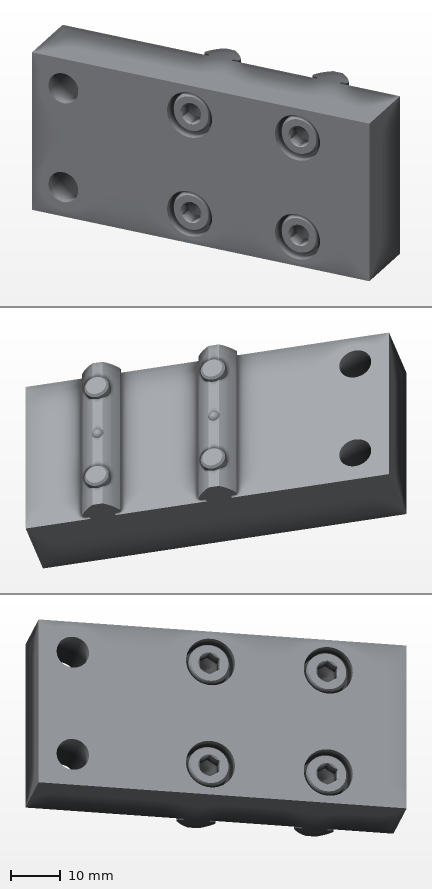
import cadquery as cq
import math


PLATE_LENGTH = 75.0
PLATE_THICKNESS = 14.0
PLATE_HEIGHT = 35.0
FRONT_Y = -PLATE_THICKNESS

HOLE_ROW_PITCH = 22.0
MOUNT_HOLE_X = 7.0
MOUNT_HOLE_DIAMETER = 6.6
FIRST_SCREW_X = 35.0
SCREW_COLUMN_PITCH = 24.0
ROW_ZS = (-HOLE_ROW_PITCH / 2, HOLE_ROW_PITCH / 2)
COLUMN_XS = (FIRST_SCREW_X, FIRST_SCREW_X + SCREW_COLUMN_PITCH)

SHANK_DIAMETER = 5.0
TIP_DIAMETER = 4.1
TIP_CHAMFER = (SHANK_DIAMETER - TIP_DIAMETER) / 2
SCREW_TIP_Y = 5.7
HEAD_DIAMETER = 8.5
HEAD_HEIGHT = 5.0
HEAD_CHAMFER_WIDTH = 0.45
HEAD_CHAMFER_HEIGHT = 0.75
HEAD_RECESS = 0.7
HEAD_TOP_Y = FRONT_Y + HEAD_RECESS
HEAD_SEAT_Y = HEAD_TOP_Y + HEAD_HEIGHT

SOCKET_ACROSS_FLATS = 4.0
SOCKET_ACROSS_CORNERS = SOCKET_ACROSS_FLATS / math.cos(math.pi / 6)
SOCKET_TURN = 30.0
SOCKET_DEPTH = 3.0
SOCKET_CONE_DEPTH = SOCKET_ACROSS_FLATS / 2 * math.tan(math.pi / 6)
SOCKET_MOUTH_DIAMETER = 4.65
SOCKET_MOUTH_DEPTH = (SOCKET_MOUTH_DIAMETER - SOCKET_ACROSS_FLATS) / 2

COUNTERBORE_DIAMETER = 10.0
CLEARANCE_DIAMETER = 5.5

NUT_HEIGHT = 4.5
NUT_TOP_HALF_WIDTH = 1.05
NECK_BASE_HALF_WIDTH = 2.55
NECK_HALF_WIDTH = 2.7
FLANGE_BOTTOM_Y = 0.7
FLANGE_TOP_Y = 1.65
FLANGE_EDGE_HALF_WIDTH = 3.8
FLANGE_TIP_HALF_WIDTH = 4.0
FLANGE_FOOT_HALF_WIDTH = 3.7
FLANK_BULGE = 0.2
NUB_RADIUS = 1.3
NUB_TOP_Y = 5.25


def cylinder_along_y(x, z, diameter, start_y, end_y):
    """Solid cylinder parallel to Y between two Y positions."""
    radius = diameter / 2
    return cq.Workplane(cq.Solid.makeCylinder(
        radius, end_y - start_y, cq.Vector(x, start_y, z), cq.Vector(0, 1, 0)))


def cone_along_y(start_y, start_radius, end_radius, length):
    """Solid cone or cone frustum centred on the Y axis, running toward +Y."""
    return cq.Workplane(cq.Solid.makeCone(
        start_radius, end_radius, length, cq.Vector(0, start_y, 0), cq.Vector(0, 1, 0)))


def make_plate():
    """Plate with two plain mounting holes and four counterbored screw holes."""
    plate = cq.Workplane("XY").box(
        PLATE_LENGTH, PLATE_THICKNESS, PLATE_HEIGHT, centered=(False, False, True)
    ).translate((0, FRONT_Y, 0))
    for z in ROW_ZS:
        plate = plate.cut(cylinder_along_y(MOUNT_HOLE_X, z, MOUNT_HOLE_DIAMETER, FRONT_Y, 0))
        for x in COLUMN_XS:
            plate = plate.cut(cylinder_along_y(x, z, COUNTERBORE_DIAMETER, FRONT_Y, HEAD_SEAT_Y))
            plate = plate.cut(cylinder_along_y(x, z, CLEARANCE_DIAMETER, HEAD_SEAT_Y, 0))
    return plate


def make_socket():
    """Hexagon socket void on the Y axis: chamfered mouth, hexagon walls and a drilled cone."""
    hexagon = (
        cq.Workplane("XZ", origin=(0, HEAD_TOP_Y, 0))
        .polygon(6, SOCKET_ACROSS_CORNERS)
        .extrude(-SOCKET_DEPTH)
        .rotate((0, 0, 0), (0, 1, 0), SOCKET_TURN)
    )
    flat_radius = SOCKET_ACROSS_FLATS / 2
    mouth = cone_along_y(HEAD_TOP_Y, SOCKET_MOUTH_DIAMETER / 2, flat_radius, SOCKET_MOUTH_DEPTH)
    drill_cone = cone_along_y(HEAD_TOP_Y + SOCKET_DEPTH, flat_radius, 0, SOCKET_CONE_DEPTH)
    return hexagon.union(mouth).union(drill_cone)


def make_screw(x, z):
    """Socket-head screw with a chamfered head and a chamfered tip."""
    head = cylinder_along_y(0, 0, HEAD_DIAMETER, HEAD_TOP_Y + HEAD_CHAMFER_HEIGHT, HEAD_SEAT_Y)
    head_radius = HEAD_DIAMETER / 2
    head_rim = cone_along_y(
        HEAD_TOP_Y, head_radius - HEAD_CHAMFER_WIDTH, head_radius, HEAD_CHAMFER_HEIGHT)
    shank = cylinder_along_y(0, 0, SHANK_DIAMETER, HEAD_SEAT_Y, SCREW_TIP_Y)
    shank = shank.faces(">Y").chamfer(TIP_CHAMFER)
    return head.union(head_rim).union(shank).cut(make_socket()).translate((x, 0, z))


def flank_midpoint(side):
    """Middle of the bulged flank between the nut's top edge and its flange."""
    run = FLANGE_EDGE_HALF_WIDTH - NUT_TOP_HALF_WIDTH
    rise = NUT_HEIGHT - FLANGE_TOP_Y
    chord = math.hypot(run, rise)
    half_width = (FLANGE_EDGE_HALF_WIDTH + NUT_TOP_HALF_WIDTH) / 2 + FLANK_BULGE * rise / chord
    y = (NUT_HEIGHT + FLANGE_TOP_Y) / 2 + FLANK_BULGE * run / chord
    return (side * half_width, y)


def make_nut_bar(x):
    """T-nut bar along Z with a tapered neck, rounded flanges, a round nub and two screw holes."""
    flange_tip_y = (FLANGE_BOTTOM_Y + FLANGE_TOP_Y) / 2
    bar = (
        cq.Workplane("XY", origin=(0, 0, -PLATE_HEIGHT / 2))
        .moveTo(-NECK_BASE_HALF_WIDTH, 0)
        .lineTo(NECK_BASE_HALF_WIDTH, 0)
        .lineTo(NECK_HALF_WIDTH, FLANGE_BOTTOM_Y)
        .lineTo(FLANGE_FOOT_HALF_WIDTH, FLANGE_BOTTOM_Y)
        .threePointArc((FLANGE_TIP_HALF_WIDTH, flange_tip_y), (FLANGE_EDGE_HALF_WIDTH, FLANGE_TOP_Y))
        .threePointArc(flank_midpoint(1), (NUT_TOP_HALF_WIDTH, NUT_HEIGHT))
        .lineTo(-NUT_TOP_HALF_WIDTH, NUT_HEIGHT)
        .threePointArc(flank_midpoint(-1), (-FLANGE_EDGE_HALF_WIDTH, FLANGE_TOP_Y))
        .threePointArc((-FLANGE_TIP_HALF_WIDTH, flange_tip_y), (-FLANGE_FOOT_HALF_WIDTH, FLANGE_BOTTOM_Y))
        .lineTo(-NECK_HALF_WIDTH, FLANGE_BOTTOM_Y)
        .close()
        .extrude(PLATE_HEIGHT)
    )
    nub = cq.Workplane("XY").sphere(NUB_RADIUS).translate((0, NUB_TOP_Y - NUB_RADIUS, 0))
    bar = bar.union(nub)
    for z in ROW_ZS:
        bar = bar.cut(cylinder_along_y(0, z, SHANK_DIAMETER, 0, SCREW_TIP_Y))
    return bar.translate((x, 0, 0))


plate = make_plate()
nut_bars = [make_nut_bar(x) for x in COLUMN_XS]
screws = [make_screw(x, z) for x in COLUMN_XS for z in ROW_ZS]

result = cq.Compound.makeCompound(
    [plate.val()] + [bar.val() for bar in nut_bars] + [screw.val() for screw in screws]
)